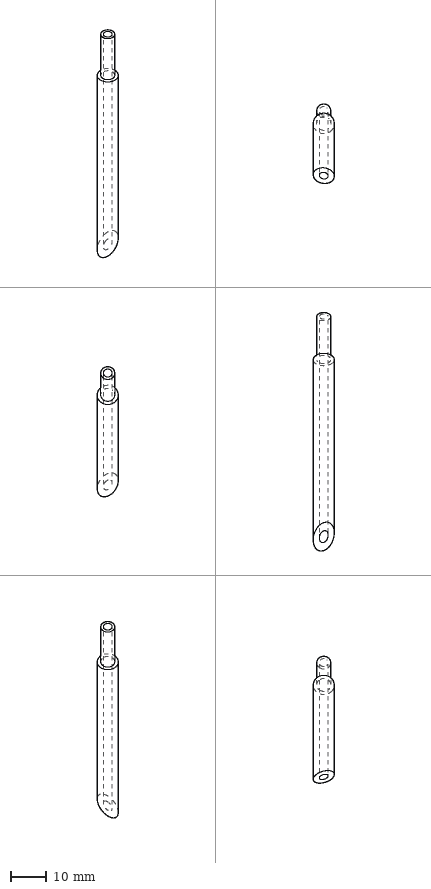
import cadquery as cq

total_length = 80.0
body_diameter = 6.0
stub_diameter = 4.0
stub_length = 15.0
bore_diameter = 2.5

body_length = total_length - stub_length
body_radius = body_diameter / 2


def stepped_rod():
    """Plain round body with a thinner stub on its top end."""
    body = cq.Workplane("XY").circle(body_radius).extrude(body_length)
    return body.faces(">Z").workplane().circle(stub_diameter / 2).extrude(stub_length)


def bevel_cutter():
    """Wedge that cuts the lower end at 45 degrees, leaving the tip on the -Y side."""
    return (
        cq.Workplane("YZ")
        .moveTo(-body_radius, 0)
        .lineTo(body_radius, 0)
        .lineTo(body_radius, body_diameter)
        .close()
        .extrude(body_radius, both=True)
    )


bore = cq.Workplane("XY").circle(bore_diameter / 2).extrude(total_length)

result = stepped_rod().cut(bevel_cutter()).cut(bore)